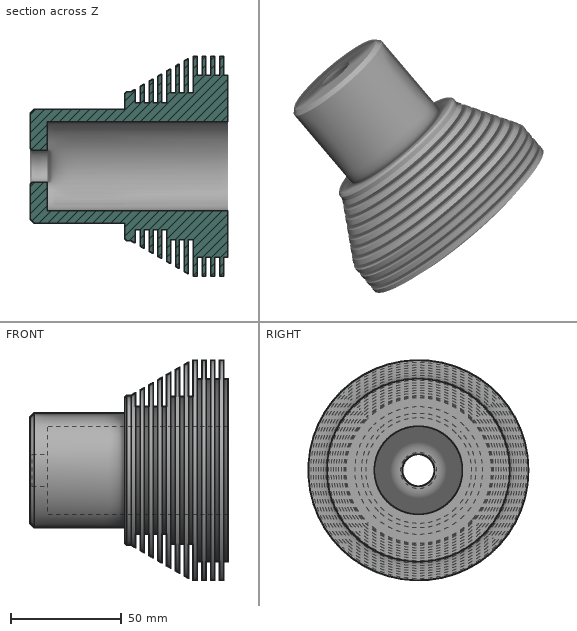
import cadquery as cq
import math

total_length = 90.0
shank_length = 43.0
shank_radius = 26.0
shank_chamfer = 2.0

bore_radius = 7.2
bore_chamfer = 1.0
front_wall = 8.0
cavity_radius = 20.0

collar_radius = 34.0
collar_chamfer = 1.0
cone_start = 46.0
cone_angle = 30.0
rim_radius = 50.0

groove_width = 2.0
groove_pitch = 4.0
first_groove_start = cone_start + groove_width
last_groove_start = total_length - groove_width
groove_count = 1 + round((last_groove_start - first_groove_start) / groove_pitch)
cut_margin = 1.0

front_hub_radius = 29.0
middle_hub_radius = 33.5
rear_hub_radius = 41.5
middle_hub_start = 62.0
rear_hub_start = 74.0


def make_cylinder(radius, start, end):
    return cq.Workplane("YZ", origin=(start, 0, 0)).circle(radius).extrude(end - start)


def make_shank():
    shank = make_cylinder(shank_radius, 0, shank_length)
    return shank.faces("<X").chamfer(shank_chamfer)


def make_head():
    cone_length = (rim_radius - collar_radius) / math.tan(math.radians(cone_angle))
    outline = [
        (shank_length, 0),
        (shank_length, collar_radius - collar_chamfer),
        (shank_length + collar_chamfer, collar_radius),
        (cone_start, collar_radius),
        (cone_start + cone_length, rim_radius),
        (total_length, rim_radius),
        (total_length, 0),
    ]
    return cq.Workplane("XY").polyline(outline).close().revolve(360, (0, 0), (1, 0))


def hub_radius_at(x):
    if x < middle_hub_start:
        return front_hub_radius
    if x < rear_hub_start:
        return middle_hub_radius
    return rear_hub_radius


def make_groove(start):
    end = start + groove_width
    disc = make_cylinder(rim_radius + cut_margin, start, end)
    return disc.cut(make_cylinder(hub_radius_at(start), start, end))


def make_interior():
    mouth_radius = bore_radius + bore_chamfer
    outline = [
        (0, 0),
        (0, mouth_radius),
        (bore_chamfer, bore_radius),
        (front_wall, bore_radius),
        (front_wall, cavity_radius),
        (total_length, cavity_radius),
        (total_length, 0),
    ]
    return cq.Workplane("XY").polyline(outline).close().revolve(360, (0, 0), (1, 0))


result = make_shank().union(make_head())

for index in range(groove_count):
    result = result.cut(make_groove(first_groove_start + index * groove_pitch))

result = result.cut(make_interior())